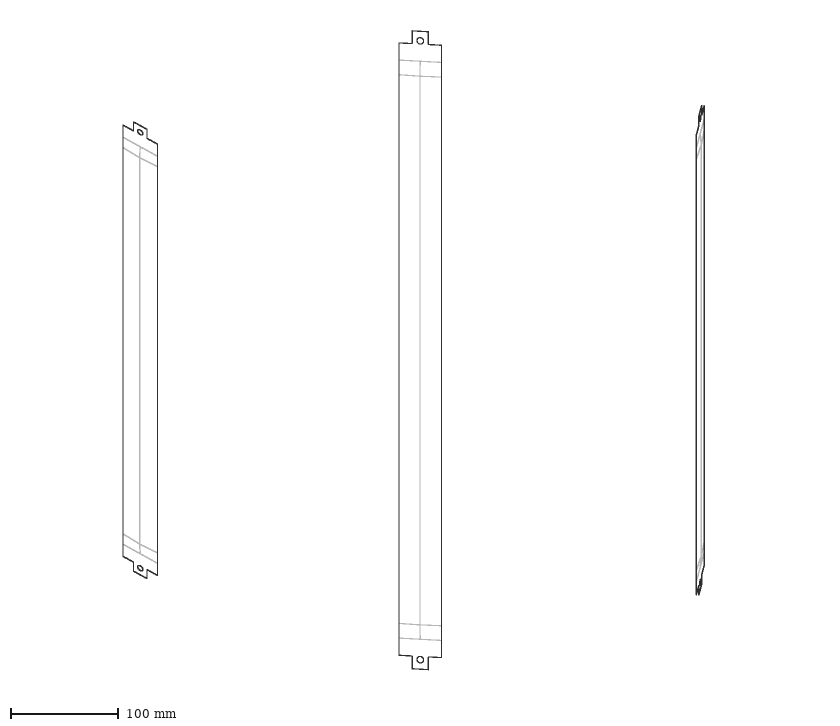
import cadquery as cq

length = 618.0
width = 40.0
depth = 1.5
sheet = 0.5
tab_width = 15.5
tab_length = 12.5
hole_diameter = 6.0
hole_from_tip = 9.0
flat_from_tip = 29.0
crease_from_tip = 43.0

back_y = depth / 2
crease_rise = depth - sheet
half_width = width / 2
half_length = length / 2
flat_end_z = half_length - flat_from_tip
crease_end_z = half_length - crease_from_tip
end_plate_length = flat_from_tip - tab_length


def section(z, rise):
    """Cross-section of the sheet at height z, its middle pushed towards -Y by rise."""
    front_y = back_y - sheet
    points = [
        (-half_width, front_y),
        (0, front_y - rise),
        (half_width, front_y),
        (half_width, back_y),
        (0, back_y - rise),
        (-half_width, back_y),
    ]
    return cq.Wire.makePolygon([cq.Vector(x, y, z) for x, y in points], close=True)


def flat_plate(x_size, z_size, z_center):
    """Flat piece of sheet against the back plane."""
    return cq.Workplane("XY").box(x_size, sheet, z_size).translate((0, back_y - sheet / 2, z_center))


strip_sections = [
    section(-flat_end_z, 0),
    section(-crease_end_z, crease_rise),
    section(crease_end_z, crease_rise),
    section(flat_end_z, 0),
]
body = cq.Workplane(cq.Solid.makeLoft(strip_sections, ruled=True))

for end in (-1, 1):
    end_plate = flat_plate(width, end_plate_length, end * (flat_end_z + end_plate_length / 2))
    tab = flat_plate(tab_width, flat_from_tip, end * (half_length - flat_from_tip / 2))
    hole = (
        cq.Workplane("XZ")
        .center(0, end * (half_length - hole_from_tip))
        .circle(hole_diameter / 2)
        .extrude(depth, both=True)
    )
    body = body.union(end_plate).union(tab).cut(hole)

result = body